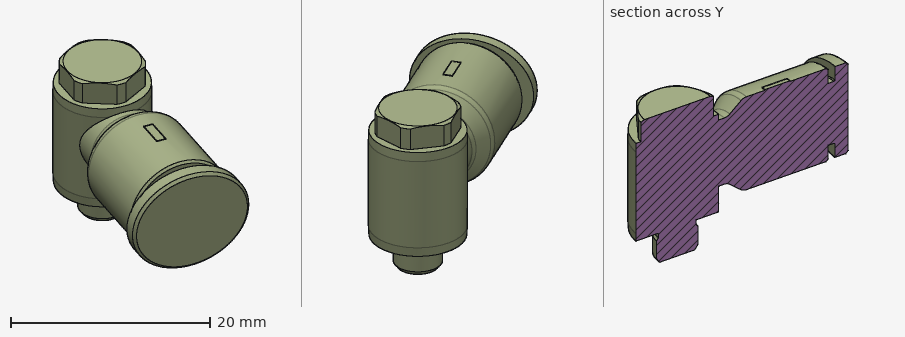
import cadquery as cq
import math

overall_length = 25.45

total_height = 17.8
body_radius = 5.0
body_end_radius = 4.95
body_taper_length = 1.0
body_bottom = 3.55
body_top = 15.3

stud_radius = 2.5
stud_tip_radius = 2.09
stud_tip_length = 0.5
stud_neck_radius = 2.3
stud_shoulder_bottom = 2.72
stud_shoulder_top = 3.03

hex_across_flats = 8.0
hex_sides = 6
hex_corner_diameter = hex_across_flats / math.cos(math.pi / hex_sides)
hex_rounded_radius = 4.35
hex_top_radius = 3.95
hex_bevel_height = 0.18

branch_height = 10.6
neck_radius = 4.0
sleeve_radius = 5.6
flare_start = 5.98
flare_angle = math.radians(40)
flare_blend_radius = 1.0
sleeve_end = 18.07
sleeve_chamfer_length = 0.28
sleeve_chamfer_depth = 0.23

collar_radius = 3.75
collar_flare = 0.08
collar_flare_length = 0.15
ring_start = 18.85
ring_end = overall_length - body_radius
ring_width = 13.0
ring_height = 10.95
ring_chamfer = 0.3

mark_start = 10.45
mark_length = 3.0
mark_width = 1.0
mark_rise = 0.08


def make_column():
    """Stud and body turned about Z."""
    return (
        cq.Workplane("XZ")
        .moveTo(0, 0)
        .lineTo(stud_tip_radius, 0)
        .lineTo(stud_radius, stud_tip_length)
        .lineTo(stud_radius, stud_shoulder_bottom)
        .lineTo(stud_neck_radius, stud_shoulder_top)
        .lineTo(stud_neck_radius, body_bottom)
        .lineTo(body_end_radius, body_bottom)
        .lineTo(body_radius, body_bottom + body_taper_length)
        .lineTo(body_radius, body_top - body_taper_length)
        .lineTo(body_end_radius, body_top)
        .lineTo(0, body_top)
        .close()
        .revolve(360, (0, 0, 0), (0, 1, 0))
    )


def make_head():
    """Hexagon with flats facing +Y and -Y, its corners and top edge turned round."""
    hexagon = (
        cq.Workplane("XY")
        .workplane(offset=body_top)
        .polygon(hex_sides, hex_corner_diameter)
        .extrude(total_height - body_top)
    )
    turned_envelope = (
        cq.Workplane("XZ")
        .moveTo(0, body_top)
        .lineTo(hex_rounded_radius, body_top)
        .lineTo(hex_rounded_radius, total_height - hex_bevel_height)
        .lineTo(hex_top_radius, total_height)
        .lineTo(0, total_height)
        .close()
        .revolve(360, (0, 0, 0), (0, 1, 0))
    )
    return hexagon.intersect(turned_envelope)


def make_branch():
    """Neck, sleeve and collar turned about the branch axis."""
    flare_end = flare_start + (sleeve_radius - neck_radius) / math.tan(flare_angle)
    arc_reach = flare_blend_radius * math.tan(flare_angle / 2)
    arc_start = flare_start - arc_reach
    arc_end = flare_end + arc_reach

    def blend_offset(angle):
        along = flare_blend_radius * math.sin(angle)
        outward = flare_blend_radius * (1 - math.cos(angle))
        return along, outward

    mid_along, mid_outward = blend_offset(flare_angle / 2)
    full_along, full_outward = blend_offset(flare_angle)

    profile = (
        cq.Workplane("XZ", origin=(0, 0, branch_height))
        .moveTo(0, 0)
        .lineTo(0, neck_radius)
        .lineTo(arc_start, neck_radius)
        .threePointArc(
            (arc_start + mid_along, neck_radius + mid_outward),
            (arc_start + full_along, neck_radius + full_outward),
        )
        .lineTo(arc_end - full_along, sleeve_radius - full_outward)
        .threePointArc(
            (arc_end - mid_along, sleeve_radius - mid_outward),
            (arc_end, sleeve_radius),
        )
        .lineTo(sleeve_end - sleeve_chamfer_length, sleeve_radius)
        .lineTo(sleeve_end, sleeve_radius - sleeve_chamfer_depth)
        .lineTo(sleeve_end, collar_radius)
        .lineTo(ring_start - collar_flare_length, collar_radius)
        .lineTo(ring_start, collar_radius + collar_flare)
        .lineTo(ring_start, 0)
        .close()
    )
    return profile.revolve(360, (0, 0, 0), (1, 0, 0))


def make_release_ring():
    """Elliptical plate with a chamfered outer edge."""
    return (
        cq.Workplane("YZ", origin=(ring_start, 0, branch_height))
        .ellipse(ring_width / 2, ring_height / 2)
        .extrude(ring_end - ring_start)
        .faces(">X")
        .chamfer(ring_chamfer)
    )


def make_mark():
    """Flat rectangular pad sunk into the sleeve and rising just above it."""
    return cq.Workplane("XY", origin=(mark_start, 0, branch_height)).box(
        mark_length, mark_width, sleeve_radius + mark_rise, centered=(False, True, False)
    )


result = (
    make_column()
    .union(make_head())
    .union(make_branch())
    .union(make_release_ring())
    .union(make_mark())
)